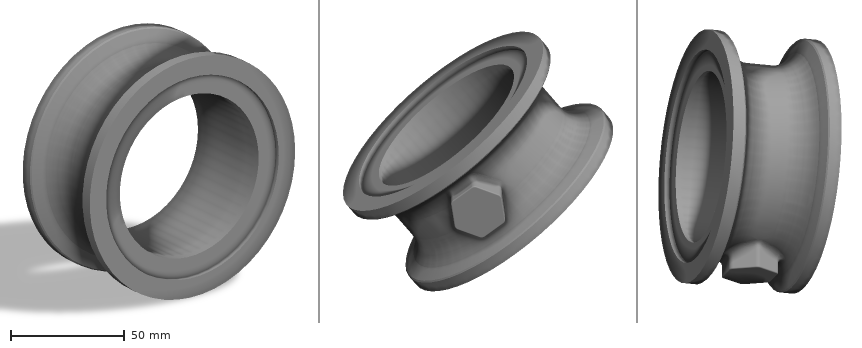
import cadquery as cq
import math

LENGTH = 50.0
FLANGE_DIA = 112.78
BORE_DIA = 76.2

RECESS_DIA = 94.74
RECESS_DEPTH = 2.4

RIM_WIDTH = 5.4
RIM_EDGE_CHAMFER = 0.6
NECK_DIA = 86.4
NECK_WIDTH = 11.4
WAIST_RADIUS = 12.7
WAIST_HALF_WIDTH = 16.8

HEX_SIDES = 6
HEX_ACROSS_FLATS = 22.6
HEX_CORNER_RADIUS = 2.4
HEX_BOTTOM_Z = -53.2
HEX_BOTTOM_ROUND = 0.5
HEX_BASE_RADIUS = 2.0

bore_radius = BORE_DIA / 2
flange_radius = FLANGE_DIA / 2
neck_radius = NECK_DIA / 2
recess_floor_x = LENGTH / 2 - RECESS_DEPTH


def waist_point(run):
    """Point on the waist arc at an axial distance beyond the end of the neck."""
    rise = WAIST_RADIUS - math.sqrt(WAIST_RADIUS**2 - run**2)
    return (NECK_WIDTH / 2 + run, neck_radius + rise)


def make_spool():
    """Revolve one half of the section about X and mirror it to the other end."""
    waist_run = WAIST_HALF_WIDTH - NECK_WIDTH / 2
    rim_x = LENGTH / 2 - RIM_WIDTH
    half_section = (
        cq.Workplane("XY")
        .moveTo(0, bore_radius)
        .lineTo(recess_floor_x, bore_radius)
        .lineTo(recess_floor_x, RECESS_DIA / 2)
        .lineTo(LENGTH / 2, RECESS_DIA / 2)
        .lineTo(LENGTH / 2, flange_radius)
        .lineTo(rim_x, flange_radius)
        .lineTo(rim_x - RIM_EDGE_CHAMFER, flange_radius - RIM_EDGE_CHAMFER)
        .lineTo(*waist_point(waist_run))
        .threePointArc(waist_point(waist_run / 2), waist_point(0))
        .lineTo(0, neck_radius)
        .close()
    )
    half = half_section.revolve(360, (0, 0, 0), (1, 0, 0))
    return half.union(half.mirror("YZ")).clean()


def make_boss():
    """Hexagonal prism with flats facing X, reaching up into the wall of the neck."""
    half_side_angle = 180 / HEX_SIDES
    corner_circle_dia = HEX_ACROSS_FLATS / math.cos(math.radians(half_side_angle))
    prism = (
        cq.Workplane("XY")
        .workplane(offset=HEX_BOTTOM_Z)
        .polygon(HEX_SIDES, corner_circle_dia)
        .extrude(-HEX_BOTTOM_Z)
        .rotate((0, 0, 0), (0, 0, 1), half_side_angle)
        .edges("|Z")
        .fillet(HEX_CORNER_RADIUS)
        .faces("<Z")
        .edges()
        .fillet(HEX_BOTTOM_ROUND)
    )
    wall_middle_radius = (bore_radius + neck_radius) / 2
    clearance = cq.Workplane("YZ").circle(wall_middle_radius).extrude(LENGTH / 2, both=True)
    return prism.cut(clearance)


def round_boss_base(body):
    """Fillet the closed loop of edges where the boss runs into the waist."""
    reach = HEX_ACROSS_FLATS / 2 + HEX_CORNER_RADIUS
    base_zone = cq.selectors.BoxSelector(
        (-reach, -reach, HEX_BOTTOM_Z + 2 * HEX_BOTTOM_ROUND),
        (reach, reach, -bore_radius),
    )
    return body.edges(base_zone).edges("not |Z").fillet(HEX_BASE_RADIUS)


result = round_boss_base(make_spool().union(make_boss()))